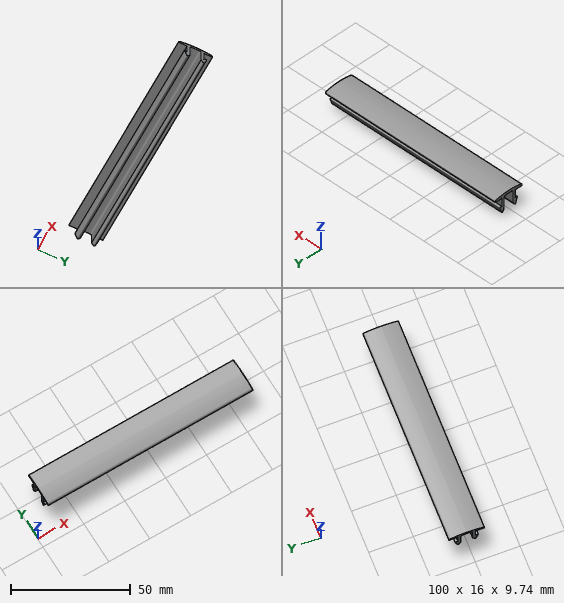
import cadquery as cq
import math


length = 100.0
cap_width = 16.0

cap_height = 2.0
crown_radius = 32.3
edge_radius = 1.0
small_corner_radius = 0.2

channel_width = 5.2
web_thickness = 1.43
channel_corner_radius = 0.9

leg_thickness = 1.4
barb_overhang = 1.3
barb_shelf_depth = 4.3
tip_y = 3.92
tip_depth = 8.225
lead_in_height = 1.95
tip_radius = 0.4

half_cap = cap_width / 2
leg_inner_y = channel_width / 2
leg_outer_y = leg_inner_y + leg_thickness
barb_y = leg_outer_y + barb_overhang
shelf_z = -barb_shelf_depth
tip_z = -tip_depth
lead_in_z = tip_z + lead_in_height


def on_circle(center, radius, angle):
    """Point on a circle at an angle measured from +Y towards +Z."""
    return (center[0] + radius * math.cos(angle), center[1] + radius * math.sin(angle))


def rounded_corner(before, corner, after, radius):
    """Start, middle and end of the arc that rounds a corner between two straight sides."""
    origin = cq.Vector(*corner)
    to_before = (cq.Vector(*before) - origin).normalized()
    to_after = (cq.Vector(*after) - origin).normalized()
    half_angle = to_before.getAngle(to_after) / 2
    tangent_length = radius / math.tan(half_angle)
    middle_distance = radius / math.sin(half_angle) - radius
    start = origin + to_before * tangent_length
    middle = origin + (to_before + to_after).normalized() * middle_distance
    end = origin + to_after * tangent_length
    return [(point.x, point.y) for point in (start, middle, end)]


def half_profile():
    """Open outline of the +Y half, from the crown line down to the channel roof."""
    top_angle = math.pi / 2
    crown_center = (0, cap_height - crown_radius)

    edge_center_y = half_cap - edge_radius
    edge_angle = math.acos(edge_center_y / (crown_radius - edge_radius))
    edge_center = on_circle(crown_center, crown_radius - edge_radius, edge_angle)
    crown_end = on_circle(crown_center, crown_radius, edge_angle)
    crown_middle = on_circle(crown_center, crown_radius, (edge_angle + top_angle) / 2)
    edge_middle = on_circle(edge_center, edge_radius, edge_angle / 2)

    roof_radius = crown_radius - web_thickness
    corner_center_y = leg_inner_y - channel_corner_radius
    corner_angle = math.acos(corner_center_y / (roof_radius - channel_corner_radius))
    corner_center = on_circle(crown_center, roof_radius - channel_corner_radius, corner_angle)
    corner_middle = on_circle(corner_center, channel_corner_radius, corner_angle / 2)
    roof_end = on_circle(crown_center, roof_radius, corner_angle)
    roof_middle = on_circle(crown_center, roof_radius, (corner_angle + top_angle) / 2)

    barb = (barb_y, shelf_z)
    tip = (tip_y, tip_z)
    cap_corner = rounded_corner((half_cap, cap_height), (half_cap, 0), (leg_outer_y, 0), small_corner_radius)
    barb_corner = rounded_corner((leg_outer_y, shelf_z), barb, tip, small_corner_radius)
    tip_corner = rounded_corner(barb, tip, (leg_inner_y, lead_in_z), tip_radius)

    return (
        cq.Workplane("YZ")
        .moveTo(0, cap_height)
        .threePointArc(crown_middle, crown_end)
        .threePointArc(edge_middle, (half_cap, edge_center[1]))
        .lineTo(*cap_corner[0])
        .threePointArc(*cap_corner[1:])
        .lineTo(leg_outer_y, 0)
        .lineTo(leg_outer_y, shelf_z)
        .lineTo(*barb_corner[0])
        .threePointArc(*barb_corner[1:])
        .lineTo(*tip_corner[0])
        .threePointArc(*tip_corner[1:])
        .lineTo(leg_inner_y, lead_in_z)
        .lineTo(leg_inner_y, corner_center[1])
        .threePointArc(corner_middle, roof_end)
        .threePointArc(roof_middle, (0, cap_height - web_thickness))
    )


result = half_profile().mirrorY().extrude(length, clean=False)